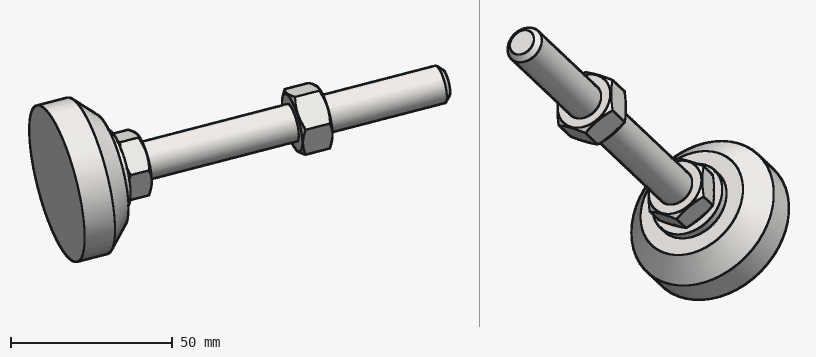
import cadquery as cq
import math

total_length = 128.0

base_diameter = 50.0
rim_height = 10.0
base_height = 17.0
collar_diameter = 24.5
collar_top = 19.8
shoulder_height = base_height - rim_height

spindle_diameter = 12.0
spindle_chamfer = 1.8

across_flats = 19.0
fixed_nut_height = 8.0
lock_nut_start = 77.5
lock_nut_height = 10.0
nut_bevel_angle = 30.0
nut_end_diameter = 18.4


def cylinder(diameter, start, end):
    """Cylinder on the Y axis between two positions."""
    return cq.Workplane("XZ", origin=(0, start, 0)).circle(diameter / 2).extrude(start - end)


def hex_nut(start, height):
    """Solid hexagon with its corners bevelled conically at both ends."""
    across_corners = across_flats / math.cos(math.radians(30))
    hexagon = (
        cq.Workplane("XZ", origin=(0, start, 0))
        .transformed(rotate=(0, 0, 90))
        .polygon(6, across_corners)
        .extrude(-height)
    )
    corner_overhang = (across_corners - nut_end_diameter) / 2
    bevel_height = corner_overhang * math.tan(math.radians(nut_bevel_angle))
    envelope = (
        cylinder(across_corners, start, start + height)
        .faces("<Y or >Y")
        .edges()
        .chamfer(bevel_height, corner_overhang)
    )
    return hexagon.intersect(envelope)


def base():
    """Round foot with a conical shoulder below its collar."""
    foot = cylinder(base_diameter, 0, base_height).faces(">Y").chamfer(shoulder_height)
    return foot.union(cylinder(collar_diameter, 0, collar_top))


def spindle():
    """Plain rod with a chamfered free end."""
    return cylinder(spindle_diameter, 0, total_length).faces(">Y").chamfer(spindle_chamfer)


fixed_nut = hex_nut(collar_top, fixed_nut_height)
lock_nut = hex_nut(lock_nut_start, lock_nut_height)
result = base().union(spindle()).union(fixed_nut).union(lock_nut)